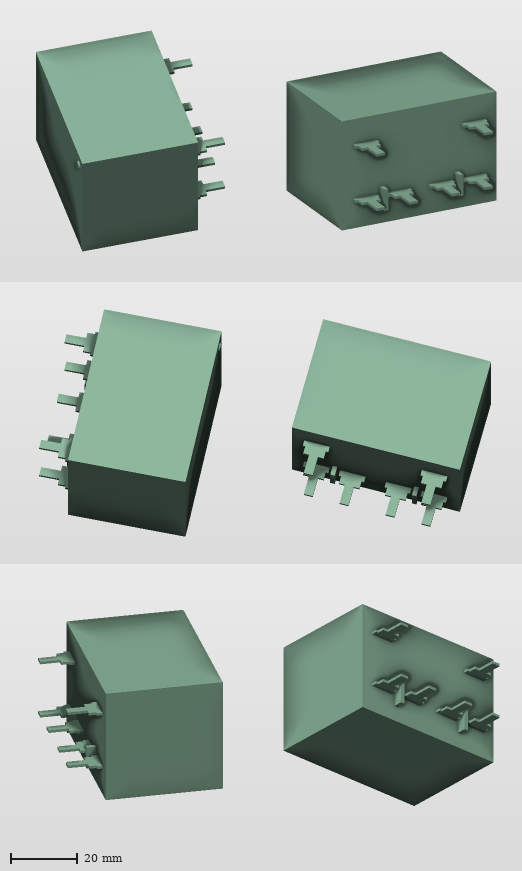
import cadquery as cq

body_width = 52.5
body_depth = 36.2
body_height = 35.5

terminal_thickness = 0.85
base_width = 8.0
base_reach = 1.8
shoulder_width = 6.4
shoulder_reach = 4.15
blade_width = 2.8
blade_reach = 10.25
outer_terminal_x = 18.4
inner_terminal_x = 7.2
lower_row_z = 9.2
upper_row_z = 26.95

rib_width = 1.4
rib_reach = 3.0
rib_height = 6.95
rib_x = 12.75
rib_bottom_z = 5.05

marker_diameter = 2.75
marker_height = 0.5
marker_inset = 3.5

overlap = 0.5


def make_housing():
    housing = cq.Workplane("XY").box(body_width, body_depth, body_height, centered=(True, False, False))
    return housing.translate((0, -body_depth, 0))


def bar(x, z, width, reach, height):
    """Rectangular bar centred at (x, z), standing out of the terminal face by reach."""
    block = cq.Workplane("XY").box(width, reach + overlap, height, centered=(True, False, True))
    return block.translate((x, -overlap, z))


def terminal(x, z):
    base = bar(x, z, base_width, base_reach, terminal_thickness)
    shoulder = bar(x, z, shoulder_width, shoulder_reach, terminal_thickness)
    blade = bar(x, z, blade_width, blade_reach, terminal_thickness)
    return base.union(shoulder).union(blade)


def make_marker():
    disc = cq.Workplane("XZ").circle(marker_diameter / 2).extrude(marker_height + overlap)
    return disc.translate((
        body_width / 2 - marker_inset,
        overlap - body_depth,
        body_height - marker_inset,
    ))


terminal_positions = [
    (-outer_terminal_x, upper_row_z),
    (outer_terminal_x, upper_row_z),
    (-outer_terminal_x, lower_row_z),
    (-inner_terminal_x, lower_row_z),
    (inner_terminal_x, lower_row_z),
    (outer_terminal_x, lower_row_z),
]

result = make_housing().union(make_marker())
for x, z in terminal_positions:
    result = result.union(terminal(x, z))
for x in (-rib_x, rib_x):
    result = result.union(bar(x, rib_bottom_z + rib_height / 2, rib_width, rib_reach, rib_height))